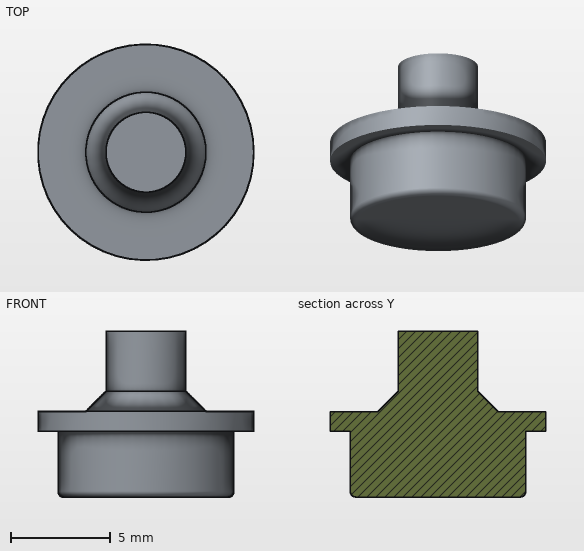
import cadquery as cq

total_height = 8.3
flange_diameter = 10.8
flange_thickness = 1.0
body_diameter = 8.8
body_edge_radius = 0.3
pin_diameter = 4.0
pin_length = 3.0
cone_base_diameter = 6.0

cone_height = (cone_base_diameter - pin_diameter) / 2
body_height = total_height - pin_length - cone_height - flange_thickness

body = (
    cq.Workplane("XY")
    .circle(body_diameter / 2)
    .extrude(body_height)
    .faces("<Z")
    .edges()
    .fillet(body_edge_radius)
)

flange = (
    cq.Workplane("XY", origin=(0, 0, body_height))
    .circle(flange_diameter / 2)
    .extrude(flange_thickness)
)

flange_top = body_height + flange_thickness
cone_top = flange_top + cone_height
pin = (
    cq.Workplane("XZ")
    .moveTo(0, flange_top)
    .lineTo(cone_base_diameter / 2, flange_top)
    .lineTo(pin_diameter / 2, cone_top)
    .lineTo(pin_diameter / 2, total_height)
    .lineTo(0, total_height)
    .close()
    .revolve(360, (0, 0, 0), (0, 1, 0))
)

result = body.union(flange).union(pin)